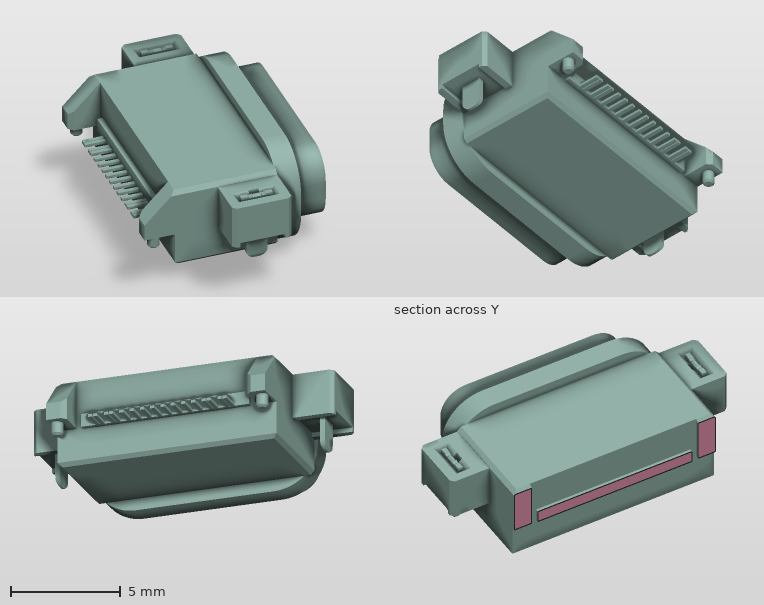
import cadquery as cq


CORNER_X = 3.38
CORNER_Z = 0.46
SHELL_RADIUS = 1.32
FLANGE_RADIUS = 2.12
FLANGE_THICKNESS = 1.1
SHELL_LENGTH = 1.5

BODY_HALF_WIDTH = 5.33
BODY_HALF_HEIGHT = 2.02
BODY_REAR_Y = -4.98
BODY_CHAMFER = 0.2
BOTTOM_CHAMFER = 0.18
LEG_END_Y = -6.48
LEG_BOTTOM_Z = -0.29
LEG_INNER_X = 4.4
LEG_TIP_CHAMFER = 0.22

PEG_RADIUS = 0.28
PEG_X = 4.99
PEG_Y = -5.92
PEG_BOTTOM_Z = -0.92
PEG_CHAMFER = 0.1

SEAT_Z = -0.33

LEDGE_HALF_WIDTH = 4.09
LEDGE_TOP_Z = 0.3
LEDGE_END_Y = -5.24
CONTACT_WIDTH = 0.2
CONTACT_HEIGHT = 0.14
CONTACT_END_Y = -6.26
CONTACT_PITCH = 0.5
SINGLE_CONTACTS = 8
PAIR_CENTRES = (2.38, 3.16)
PAIR_OFFSET = 0.12

EAR_OUTER_X = 7.32
EAR_DEPTH = 2.9
EAR_TOP_Z = 1.8
EAR_CHAMFER = 0.18
EAR_CENTRE_Y = -1.45
RELIEF_LENGTH = 2.2
RELIEF_HEIGHT = 0.22

POCKET_X = 6.45
POCKET_WIDTH = 0.76
POCKET_LENGTH = 2.03
POCKET_DEPTH = 0.25
WINDOW_LENGTH = 0.48

TAB_THICKNESS = 0.24
TAB_HEAD_LENGTH = 1.55
TAB_LEG_LENGTH = 1.02
TAB_BOTTOM_Z = -1.58
TAB_CORNER_RADIUS = 0.42
TAB_TIP_BEVEL = 0.06
TAB_TIP_BEVEL_HEIGHT = 0.17
TONGUE_LENGTH = 0.4
TONGUE_BEVEL = 0.07
DIP_LENGTH = 0.23
DIP_DEPTH = 0.06


def block(x_min, x_max, y_min, y_max, z_min, z_max):
    """Axis-aligned block between the given limits."""
    size = (x_max - x_min, y_max - y_min, z_max - z_min)
    return cq.Workplane("XY").box(*size, centered=False).translate((x_min, y_min, z_min))


def rounded_plate(radius, y_min, y_max):
    """Plate normal to Y whose corners are arcs about the shared corner centres."""
    half_width = CORNER_X + radius
    half_height = CORNER_Z + radius
    plate = block(-half_width, half_width, y_min, y_max, -half_height, half_height)
    return plate.edges("|Y").fillet(radius)


def make_body():
    """Body block with sloped rear legs and bevelled long edges."""
    slope_drop = BODY_REAR_Y - LEG_END_Y
    body = (
        cq.Workplane("YZ")
        .moveTo(0, BODY_HALF_HEIGHT)
        .lineTo(BODY_REAR_Y, BODY_HALF_HEIGHT)
        .lineTo(LEG_END_Y, BODY_HALF_HEIGHT - slope_drop)
        .lineTo(LEG_END_Y, LEG_BOTTOM_Z)
        .lineTo(BODY_REAR_Y, LEG_BOTTOM_Z)
        .lineTo(BODY_REAR_Y, -BODY_HALF_HEIGHT)
        .lineTo(0, -BODY_HALF_HEIGHT)
        .close()
        .extrude(BODY_HALF_WIDTH, both=True)
    )
    body = body.faces(">Z").edges("|Y").chamfer(BODY_CHAMFER)
    body = body.faces("<Z").edges("|Y or <Y").chamfer(BOTTOM_CHAMFER)
    gap = block(
        -LEG_INNER_X, LEG_INNER_X, LEG_END_Y, BODY_REAR_Y, LEG_BOTTOM_Z, BODY_HALF_HEIGHT
    )
    gap = gap.union(make_leg_tip_bevel())
    return body.cut(gap)


def make_leg_tip_bevel():
    """Wedge-sided block that bevels the inner vertical corners of both leg tips."""
    outer = LEG_INNER_X + LEG_TIP_CHAMFER
    bevel_start = LEG_END_Y + LEG_TIP_CHAMFER
    outline = [
        (-outer, LEG_END_Y),
        (outer, LEG_END_Y),
        (LEG_INNER_X, bevel_start),
        (-LEG_INNER_X, bevel_start),
    ]
    height = BODY_HALF_HEIGHT - LEG_BOTTOM_Z
    return cq.Workplane("XY", origin=(0, 0, LEG_BOTTOM_Z)).polyline(outline).close().extrude(height)


def make_peg():
    """Locating peg below the +X leg."""
    length = LEG_BOTTOM_Z - PEG_BOTTOM_Z
    peg = cq.Workplane("XY", origin=(PEG_X, PEG_Y, PEG_BOTTOM_Z)).circle(PEG_RADIUS).extrude(length)
    return peg.faces("<Z").chamfer(PEG_CHAMFER)


def contact_positions():
    """X positions of the evenly spaced contacts and of the outer contact pairs."""
    first = -CONTACT_PITCH * (SINGLE_CONTACTS - 1) / 2
    positions = [first + i * CONTACT_PITCH for i in range(SINGLE_CONTACTS)]
    for centre in PAIR_CENTRES:
        for side in (-1, 1):
            positions += [side * centre - PAIR_OFFSET, side * centre + PAIR_OFFSET]
    return positions


def make_contact(x):
    """Flat contact lying on the seating plane and leaving the rear ledge."""
    half = CONTACT_WIDTH / 2
    return block(x - half, x + half, CONTACT_END_Y, BODY_REAR_Y, SEAT_Z, SEAT_Z + CONTACT_HEIGHT)


def make_ear():
    """+X ear with bevelled corners, bottom relief, tapered pocket and window."""
    ear = block(BODY_HALF_WIDTH, EAR_OUTER_X, -EAR_DEPTH, 0, SEAT_Z, EAR_TOP_Z)
    ear = ear.faces(">X").edges("|Z").chamfer(EAR_CHAMFER)
    half_relief = RELIEF_LENGTH / 2
    relief = block(
        BODY_HALF_WIDTH,
        EAR_OUTER_X,
        EAR_CENTRE_Y - half_relief,
        EAR_CENTRE_Y + half_relief,
        SEAT_Z,
        SEAT_Z + RELIEF_HEIGHT,
    )
    pocket = (
        cq.Workplane("XY", origin=(POCKET_X, EAR_CENTRE_Y, EAR_TOP_Z))
        .rect(POCKET_WIDTH, POCKET_LENGTH)
        .workplane(offset=-POCKET_DEPTH)
        .rect(POCKET_WIDTH - 2 * POCKET_DEPTH, POCKET_LENGTH - 2 * POCKET_DEPTH)
        .loft(combine=True)
    )
    window = block(
        POCKET_X - POCKET_WIDTH / 2,
        POCKET_X,
        EAR_CENTRE_Y - WINDOW_LENGTH / 2,
        EAR_CENTRE_Y + WINDOW_LENGTH / 2,
        SEAT_Z,
        EAR_TOP_Z,
    )
    return ear.cut(relief).cut(pocket).cut(window)


def make_tab():
    """Solder tab of the +X ear: head in the pocket, rounded leg below the ear."""
    half_thickness = TAB_THICKNESS / 2
    half_head = TAB_HEAD_LENGTH / 2
    half_leg = TAB_LEG_LENGTH / 2
    half_tongue = TONGUE_LENGTH / 2
    x_min = POCKET_X - half_thickness
    x_max = POCKET_X + half_thickness
    head_bottom = SEAT_Z + RELIEF_HEIGHT

    head = block(
        x_min, x_max, EAR_CENTRE_Y - half_head, EAR_CENTRE_Y + half_head, head_bottom, EAR_TOP_Z
    )
    for side in (-1, 1):
        inner = EAR_CENTRE_Y + side * half_tongue
        outer = inner + side * DIP_LENGTH
        dip = (
            cq.Workplane("YZ", origin=(x_min, 0, 0))
            .moveTo(inner, EAR_TOP_Z)
            .threePointArc(((inner + outer) / 2, EAR_TOP_Z - DIP_DEPTH), (outer, EAR_TOP_Z))
            .close()
            .extrude(TAB_THICKNESS)
        )
        edge = POCKET_X + side * half_thickness
        bevel = (
            cq.Workplane("XZ", origin=(0, EAR_CENTRE_Y, 0))
            .moveTo(edge, EAR_TOP_Z)
            .lineTo(edge - side * TONGUE_BEVEL, EAR_TOP_Z)
            .lineTo(edge, EAR_TOP_Z - TONGUE_BEVEL)
            .close()
            .extrude(half_tongue, both=True)
        )
        head = head.cut(dip).cut(bevel)

    leg = block(
        x_min, x_max, EAR_CENTRE_Y - half_leg, EAR_CENTRE_Y + half_leg, TAB_BOTTOM_Z, head_bottom
    )
    leg = leg.faces("<Z").edges("|X").fillet(TAB_CORNER_RADIUS)
    for side in (-1, 1):
        edge = POCKET_X + side * half_thickness
        bevel = (
            cq.Workplane("XZ", origin=(0, EAR_CENTRE_Y, 0))
            .moveTo(edge, TAB_BOTTOM_Z)
            .lineTo(edge - side * TAB_TIP_BEVEL, TAB_BOTTOM_Z)
            .lineTo(edge, TAB_BOTTOM_Z + TAB_TIP_BEVEL_HEIGHT)
            .close()
            .extrude(half_leg, both=True)
        )
        leg = leg.cut(bevel)
    return head.union(leg)


result = make_body()
result = result.union(rounded_plate(FLANGE_RADIUS, 0, FLANGE_THICKNESS))
shell_end = FLANGE_THICKNESS + SHELL_LENGTH
result = result.union(rounded_plate(SHELL_RADIUS, FLANGE_THICKNESS, shell_end))
result = result.union(
    block(-LEDGE_HALF_WIDTH, LEDGE_HALF_WIDTH, LEDGE_END_Y, BODY_REAR_Y, SEAT_Z, LEDGE_TOP_Z)
)
for contact_x in contact_positions():
    result = result.union(make_contact(contact_x))

for feature in (make_peg(), make_ear(), make_tab()):
    result = result.union(feature).union(feature.mirror("YZ"))